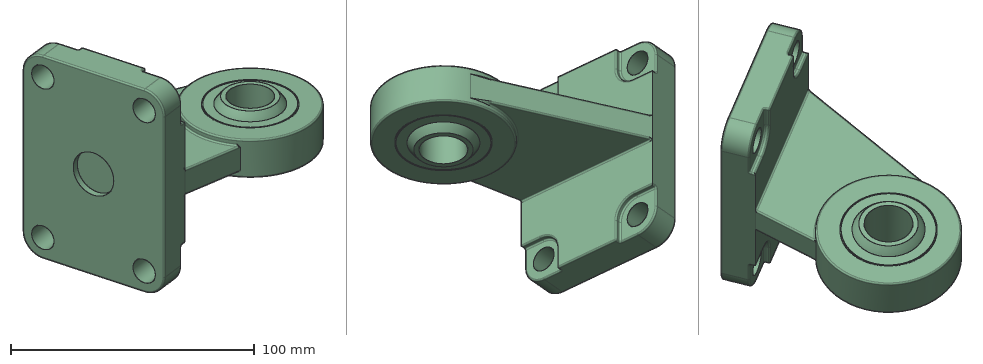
import cadquery as cq
import math

plate_width = 70.0
plate_height = 96.0
plate_thickness = 15.0
plate_corner_radius = 10.0
edge_radius = 0.7
hole_inset = 10.0
bolt_hole_diameter = 11.0
locating_recess_diameter = 20.0
locating_recess_depth = 3.0

corner_recess_depth = 2.5
corner_recess_radius = 9.3

eye_diameter = 60.0
eye_height = 18.0
eye_x = 65.0
eye_y = 71.0
arm_thickness = 12.0

race_diameter = 40.0
race_chamfer = 0.5
ball_diameter = 34.9
ball_height = 25.0
ball_bore_diameter = 20.0

mid_z = plate_height / 2
eye_radius = eye_diameter / 2
race_radius = race_diameter / 2
ball_radius = ball_diameter / 2

tolerance = 0.01


def tangent_point(start_x, start_y, radius, side):
    """Point where a line from the start touches a circle about the eye centre; side is +1 left, -1 right."""
    distance = math.hypot(eye_x - start_x, eye_y - start_y)
    heading = math.atan2(eye_y - start_y, eye_x - start_x) + side * math.asin(radius / distance)
    normal = heading + side * math.pi / 2
    return eye_x + radius * math.cos(normal), eye_y + radius * math.sin(normal)


def cut_corner_recesses(plate):
    """Lower the back of the plate around each bolt hole, with a rounded inner corner and a blended floor."""
    reach = hole_inset + corner_recess_radius
    for x_side in (-1, 1):
        for z_side in (-1, 1):
            recess = (
                cq.Workplane("XZ", origin=(plate_width / 2, plate_thickness, mid_z))
                .center(x_side * plate_width / 2, z_side * plate_height / 2)
                .rect(2 * reach, 2 * reach)
                .extrude(corner_recess_depth)
                .edges("|Y")
                .fillet(corner_recess_radius)
                .faces("<Y")
                .edges()
                .fillet(edge_radius)
            )
            plate = plate.cut(recess)
    return plate


def round_back_edges(plate):
    """Round the back rim and the outer edges of the corner recesses; the back edges beside the arm stay sharp."""
    rim_edges = plate.faces(">Y").edges("not (<X or >X)").vals()
    outer_walls = [f for f in plate.faces("not <Y").vals() if f.BoundingBox().ymin < edge_radius]
    floor_y = plate_thickness - corner_recess_depth
    recess_edges = [
        edge
        for wall in outer_walls
        for edge in wall.Edges()
        if floor_y - tolerance < edge.BoundingBox().ymin and edge.Center().y < plate_thickness - tolerance
    ]
    return plate.newObject(rim_edges + recess_edges).fillet(edge_radius)


def make_plate():
    plate = (
        cq.Workplane("XY")
        .box(plate_width, plate_thickness, plate_height, centered=False)
        .edges("|Y")
        .fillet(plate_corner_radius)
    )
    plate = round_back_edges(cut_corner_recesses(plate))
    return plate.faces("<Y").edges().fillet(edge_radius)


def cut_plate_holes(body):
    """Four bolt holes through the plate and a shallow round recess in the middle of its front face."""
    front = cq.Workplane("XZ", origin=(plate_width / 2, 0, mid_z))
    bolt_holes = (
        front.rect(plate_width - 2 * hole_inset, plate_height - 2 * hole_inset, forConstruction=True)
        .vertices()
        .circle(bolt_hole_diameter / 2)
        .extrude(-plate_thickness)
    )
    locating_recess = front.circle(locating_recess_diameter / 2).extrude(-locating_recess_depth)
    return body.cut(bolt_holes).cut(locating_recess)


def make_arm():
    """Flat web from the plate to the eye: left side tangent to the eye, right side aimed along the race."""
    left_x, left_y = tangent_point(0, plate_thickness, eye_radius, 1)
    right_x, right_y = tangent_point(plate_width, plate_thickness, race_radius, -1)
    return (
        cq.Workplane("XY", origin=(0, 0, mid_z - arm_thickness / 2))
        .moveTo(0, plate_thickness)
        .lineTo(left_x, left_y)
        .lineTo(eye_x, eye_y)
        .lineTo(right_x, right_y)
        .lineTo(plate_width, plate_thickness)
        .close()
        .extrude(arm_thickness)
    )


def eye_cylinder(diameter, height):
    """Upright cylinder on the eye axis, centred on the mid-height of the plate."""
    return cq.Workplane("XY", origin=(eye_x, eye_y, mid_z - height / 2)).circle(diameter / 2).extrude(height)


def make_ball_envelope():
    """Full sphere that both the ball and the race's inner surface follow."""
    return cq.Workplane("XY", origin=(eye_x, eye_y, mid_z)).sphere(ball_radius)


def make_bracket():
    eye = eye_cylinder(eye_diameter, eye_height).edges().fillet(edge_radius)
    body = make_plate().union(make_arm()).union(eye)

    arm_levels = (mid_z - arm_thickness / 2, mid_z + arm_thickness / 2)
    arm_edges = [
        edge
        for edge in body.edges().vals()
        if any(abs(edge.Center().z - level) < tolerance for level in arm_levels)
    ]
    body = body.newObject(arm_edges).fillet(edge_radius)

    return cut_plate_holes(body).cut(eye_cylinder(race_diameter, eye_height))


def make_race():
    race = eye_cylinder(race_diameter, eye_height).edges().chamfer(race_chamfer)
    return race.cut(make_ball_envelope())


def make_ball():
    ball = make_ball_envelope().intersect(eye_cylinder(ball_diameter, ball_height))
    return ball.cut(eye_cylinder(ball_bore_diameter, ball_height))


bracket = make_bracket()
race = make_race()
ball = make_ball()

result = cq.Compound.makeCompound([bracket.solids().val(), race.solids().val(), ball.solids().val()])